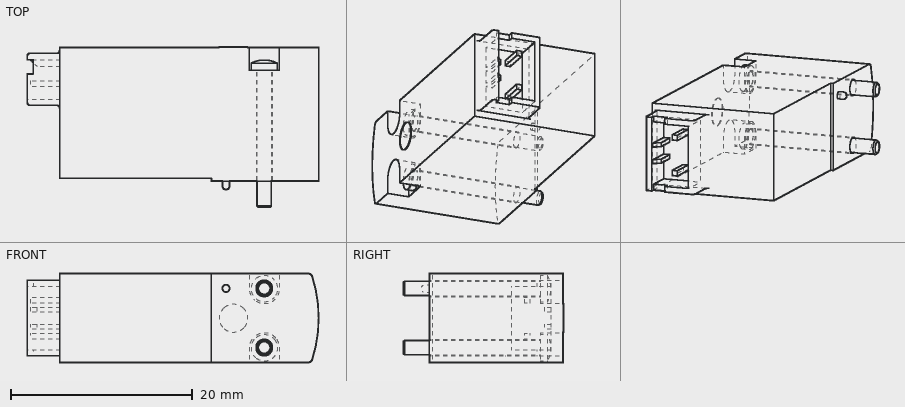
import cadquery as cq
import math


HEIGHT = 9.8
PAD_TO_BACK = 14.7
LENGTH = 28.5
NOSE_RADIUS = 15.0
NOSE_CORNER_RADIUS = 0.5
PAD_START_X = 16.7
PAD_STEP = 0.3

SHROUD_LENGTH = 3.55
SHROUD_HEIGHT = 8.3
SHROUD_FRONT_Y = 8.32
SHROUD_BACK_Y = 14.05
SHROUD_ROUND = 0.3
CAVITY_HEIGHT = 7.0
CAVITY_FRONT_Y = 9.0
CAVITY_BACK_Y = 13.33
SIDE_NOTCH_FRONT_Y = 11.77
SIDE_NOTCH_DEPTH = 0.65

INSERT_SETBACK = 0.35
CONTACT_SIZE = 0.6
CONTACT_Y = 10.73
CONTACT_Z = 2.0
RIB_THICKNESS = 0.45
RIB_DEPTH = 0.72
RIB_Z = 0.93

LOCATOR_DIAMETER = 0.8
LOCATOR_LENGTH = 0.95
LOCATOR_X = 18.3
BUTTON_DIAMETER = 3.1
BUTTON_HEIGHT = 0.08
BUTTON_X = 19.1

SCREW_X = 22.5
SCREW_Z = 3.25
SCREW_DIAMETER = 1.6
SCREW_TIP_DIAMETER = 1.3
SCREW_TIP_CHAMFER_LENGTH = 0.2
SCREW_PROTRUSION = 2.9
SCREW_HOLE_DIAMETER = 1.8
HEAD_DIAMETER = 2.9
HEAD_SIDE_HEIGHT = 0.75
HEAD_DOME_HEIGHT = 0.35
RECESS_WIDTH = 3.3
RECESS_DEPTH = 2.5
RECESS_FLOOR_Y = PAD_TO_BACK - RECESS_DEPTH


def box(x_range, y_range, z_range):
    """Block between the given limits on each axis."""
    (x0, x1), (y0, y1), (z0, z1) = x_range, y_range, z_range
    return cq.Workplane("XY").box(x1 - x0, y1 - y0, z1 - z0, centered=False).translate((x0, y0, z0))


def rod(diameter, x, z, y_start, y_end):
    """Cylinder along Y from y_start to y_end."""
    axis = cq.Vector(0, y_end - y_start, 0)
    solid = cq.Solid.makeCylinder(diameter / 2, abs(y_end - y_start), cq.Vector(x, y_start, z), axis)
    return cq.Workplane(solid)


def make_block():
    """Main block with a bowed nose and a raised pad on its front face."""
    half_height = HEIGHT / 2
    nose_sag = NOSE_RADIUS - math.sqrt(NOSE_RADIUS**2 - half_height**2)
    corner_x = LENGTH - nose_sag
    block = (
        cq.Workplane("XZ")
        .moveTo(0, -half_height)
        .lineTo(corner_x, -half_height)
        .threePointArc((LENGTH, 0), (corner_x, half_height))
        .lineTo(0, half_height)
        .close()
        .extrude(-PAD_TO_BACK)
    )
    block = block.edges("|Y").edges(">X").fillet(NOSE_CORNER_RADIUS)
    return block.cut(box((0, PAD_START_X), (0, PAD_STEP), (-half_height, half_height)))


def make_shroud():
    """Connector shroud with rounded mouth edges and flared roots, hollow down to the block."""
    r = SHROUD_ROUND
    mouth_x = -SHROUD_LENGTH
    diagonal = r * math.sqrt(0.5)
    shroud = (
        cq.Workplane("XY")
        .moveTo(0, SHROUD_FRONT_Y - r)
        .threePointArc((-r + diagonal, SHROUD_FRONT_Y - r + diagonal), (-r, SHROUD_FRONT_Y))
        .lineTo(mouth_x + r, SHROUD_FRONT_Y)
        .threePointArc((mouth_x + r - diagonal, SHROUD_FRONT_Y + r - diagonal), (mouth_x, SHROUD_FRONT_Y + r))
        .lineTo(mouth_x, SHROUD_BACK_Y - r)
        .threePointArc((mouth_x + r - diagonal, SHROUD_BACK_Y - r + diagonal), (mouth_x + r, SHROUD_BACK_Y))
        .lineTo(-r, SHROUD_BACK_Y)
        .threePointArc((-r + diagonal, SHROUD_BACK_Y + r - diagonal), (0, SHROUD_BACK_Y + r))
        .close()
        .extrude(SHROUD_HEIGHT / 2, both=True)
    )
    cavity = box(
        (mouth_x, 0), (CAVITY_FRONT_Y, CAVITY_BACK_Y), (-CAVITY_HEIGHT / 2, CAVITY_HEIGHT / 2)
    )
    side_notches = box(
        (mouth_x, mouth_x + SIDE_NOTCH_DEPTH),
        (SIDE_NOTCH_FRONT_Y, CAVITY_BACK_Y),
        (-SHROUD_HEIGHT / 2, SHROUD_HEIGHT / 2),
    )
    return shroud.cut(cavity).cut(side_notches)


def make_contact(z):
    """Square contact standing on the cavity floor."""
    half = CONTACT_SIZE / 2
    return box(
        (INSERT_SETBACK - SHROUD_LENGTH, 0), (CONTACT_Y - half, CONTACT_Y + half), (z - half, z + half)
    )


def make_rib(z):
    """Rib along the back wall of the cavity, with a 45 degree lead-in."""
    start_x = INSERT_SETBACK - SHROUD_LENGTH
    return (
        cq.Workplane("XY", origin=(0, 0, z))
        .moveTo(start_x, CAVITY_BACK_Y)
        .lineTo(start_x + RIB_DEPTH, CAVITY_BACK_Y - RIB_DEPTH)
        .lineTo(0, CAVITY_BACK_Y - RIB_DEPTH)
        .lineTo(0, CAVITY_BACK_Y)
        .close()
        .extrude(RIB_THICKNESS / 2, both=True)
    )


def make_locator():
    """Locating pin with a hemispherical tip."""
    radius = LOCATOR_DIAMETER / 2
    tip_center_y = radius - LOCATOR_LENGTH
    shank = rod(LOCATOR_DIAMETER, LOCATOR_X, SCREW_Z, 0, tip_center_y)
    tip = cq.Workplane("XY").sphere(radius).translate((LOCATOR_X, tip_center_y, SCREW_Z))
    return shank.union(tip)


def make_screw_recess(side):
    """U-shaped head recess open to the back and the nearer Z face, with a clearance hole."""
    z = side * SCREW_Z
    outer_z = side * HEIGHT / 2
    half_width = RECESS_WIDTH / 2
    round_end = rod(RECESS_WIDTH, SCREW_X, z, RECESS_FLOOR_Y, PAD_TO_BACK)
    opening = box(
        (SCREW_X - half_width, SCREW_X + half_width),
        (RECESS_FLOOR_Y, PAD_TO_BACK),
        (min(z, outer_z), max(z, outer_z)),
    )
    hole = rod(SCREW_HOLE_DIAMETER, SCREW_X, z, 0, RECESS_FLOOR_Y)
    return round_end.union(opening).union(hole)


def make_housing():
    housing = make_block().union(make_shroud())
    for side in (-1, 1):
        housing = housing.union(make_contact(side * CONTACT_Z))
        housing = housing.union(make_rib(side * RIB_Z))
        housing = housing.cut(make_screw_recess(side))
    button = rod(BUTTON_DIAMETER, BUTTON_X, 0, PAD_TO_BACK, PAD_TO_BACK + BUTTON_HEIGHT)
    return housing.union(make_locator()).union(button)


def make_screw(z):
    """Domed-head screw, turned about its own axis, with its head on the recess floor."""
    head_radius = HEAD_DIAMETER / 2
    shank_radius = SCREW_DIAMETER / 2
    rim_y = RECESS_FLOOR_Y + HEAD_SIDE_HEIGHT
    crown_y = rim_y + HEAD_DOME_HEIGHT
    dome_radius = (head_radius**2 + HEAD_DOME_HEIGHT**2) / (2 * HEAD_DOME_HEIGHT)
    dome_mid_radius = head_radius / 2
    dome_mid_y = crown_y - dome_radius + math.sqrt(dome_radius**2 - dome_mid_radius**2)
    return (
        cq.Workplane("XY")
        .moveTo(0, -SCREW_PROTRUSION)
        .lineTo(SCREW_TIP_DIAMETER / 2, -SCREW_PROTRUSION)
        .lineTo(shank_radius, SCREW_TIP_CHAMFER_LENGTH - SCREW_PROTRUSION)
        .lineTo(shank_radius, RECESS_FLOOR_Y)
        .lineTo(head_radius, RECESS_FLOOR_Y)
        .lineTo(head_radius, rim_y)
        .threePointArc((dome_mid_radius, dome_mid_y), (0, crown_y))
        .close()
        .revolve(360, (0, 0, 0), (0, 1, 0))
        .translate((SCREW_X, 0, z))
    )


housing = make_housing()
screws = [make_screw(side * SCREW_Z) for side in (-1, 1)]

result = cq.Compound.makeCompound([housing.val(), *[screw.val() for screw in screws]])